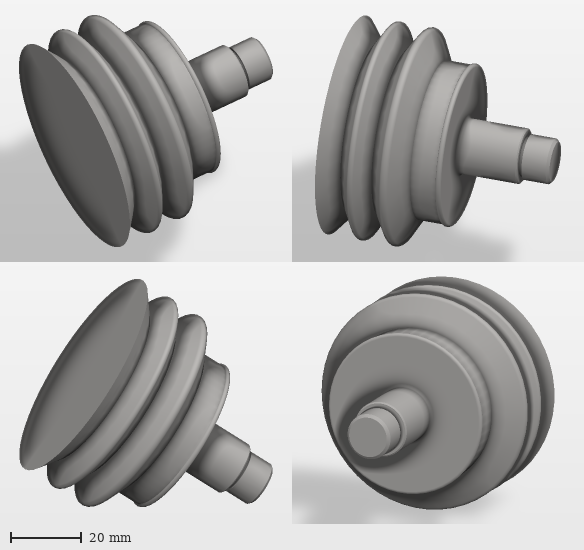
import cadquery as cq
import math


bellows_radius = 31.5
lower_neck_radius = 24.9
lower_neck_y = 5.5
upper_neck_radius = 24.5
upper_neck_y = 14.55
lower_fold_y = 10.05
lower_fold_round = 1.0
upper_fold_y = 19.9
upper_fold_round = 1.4
flank_angle = math.radians(30)

collar_radius = 46 / 2
collar_base_y = 25.5
collar_top_y = 34.6
rim_radius = 23.5
rim_round = 0.8

stem_radius = 16.0 / 2
stem_top_y = 52.4
stem_chamfer = 0.4
stem_fillet = 0.9
groove_radius = 11.45 / 2
groove_width = 1.1
thread_radius = 13.15 / 2
thread_chamfer = 0.8
total_length = 61.5


def add_fold(outline, fold_y, fold_round):
    """Run a straight flank up to a fold and round its outer edge."""
    half_height = fold_round * math.cos(flank_angle)
    tangent_radius = bellows_radius - fold_round * (1 - math.sin(flank_angle))
    return outline.lineTo(tangent_radius, fold_y - half_height).threePointArc(
        (bellows_radius, fold_y), (tangent_radius, fold_y + half_height)
    )


profile = cq.Workplane("XY").lineTo(bellows_radius, 0).lineTo(lower_neck_radius, lower_neck_y)
profile = add_fold(profile, lower_fold_y, lower_fold_round)
profile = profile.lineTo(upper_neck_radius, upper_neck_y)
profile = add_fold(profile, upper_fold_y, upper_fold_round)

rim_center_radius = rim_radius - rim_round
rim_center_y = collar_top_y - rim_round
rim_overlap = collar_radius - rim_center_radius
rim_start_y = rim_center_y - math.sqrt(rim_round**2 - rim_overlap**2)
profile = (
    profile.lineTo(collar_radius, collar_base_y)
    .lineTo(collar_radius, rim_start_y)
    .threePointArc((rim_radius, rim_center_y), (rim_center_radius, collar_top_y))
)

fillet_middle = stem_fillet * (1 - math.sqrt(0.5))
profile = (
    profile.lineTo(stem_radius + stem_fillet, collar_top_y)
    .threePointArc(
        (stem_radius + fillet_middle, collar_top_y + fillet_middle),
        (stem_radius, collar_top_y + stem_fillet),
    )
    .lineTo(stem_radius, stem_top_y - stem_chamfer)
    .lineTo(stem_radius - stem_chamfer, stem_top_y)
)

thread_start_y = stem_top_y + groove_width
profile = (
    profile.lineTo(groove_radius, stem_top_y)
    .lineTo(groove_radius, thread_start_y)
    .lineTo(thread_radius, thread_start_y)
    .lineTo(thread_radius, total_length - thread_chamfer)
    .lineTo(thread_radius - thread_chamfer, total_length)
    .lineTo(0, total_length)
    .close()
)

result = profile.revolve(360, (0, 0, 0), (0, 1, 0))